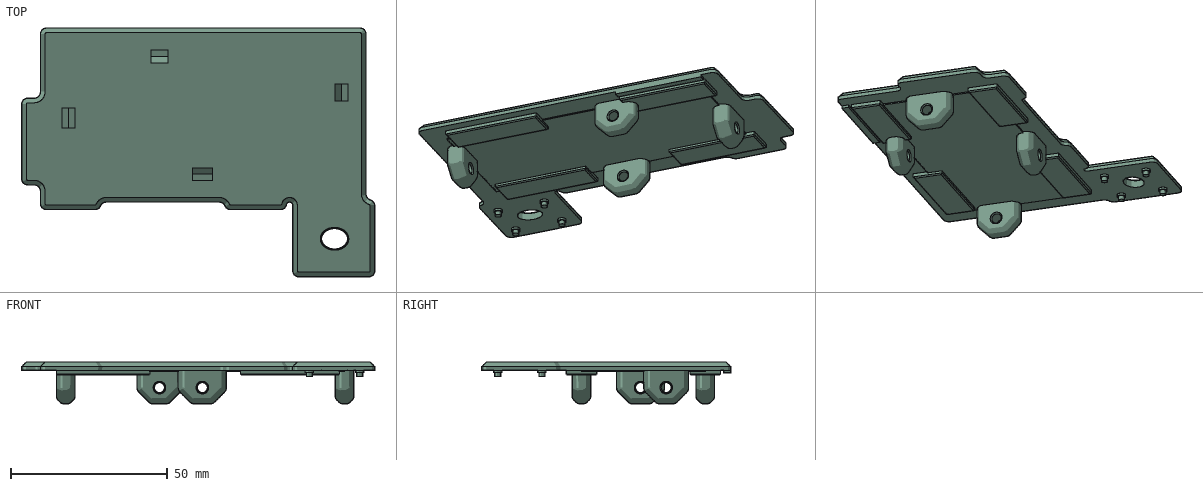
import cadquery as cq
import math

LENGTH = 113.0
DEPTH = 79.65
THICKNESS = 2.7
EDGE_CHAMFER = 1.5
CORNER_R = 2.0

BODY_LEFT = 6.0
BODY_RIGHT = 110.2
BODY_FRONT = 21.5
EAR_FRONT = 29.4
EAR_BACK = 57.2
TAB_LEFT = 86.7

RECESS_DEPTH = 2.4
RECESS_LEFT = 23.4
RECESS_RIGHT = 66.9
NOTCH_R = 1.0
TAB_STEP_Y = 22.7

TAB_HOLE_CENTER = (100.1, 12.2)
TAB_HOLE_LENGTH = 8.3
TAB_HOLE_WIDTH = 6.5
TAB_HOLE_CHAMFER = 0.4

PEG_SPACING_X = 16.1
PEG_SPACING_Y = 14.1
PEG_BASE_D = 2.7
PEG_TIP_D = 2.0
PEG_BASE_HEIGHT = 0.7
PEG_HEIGHT = 2.0

LUG_DROP = 10.7
LUG_THICKNESS = 6.0
LUG_BEVEL = 4.3
LUG_CORNER_R = 1.8
LUG_EDGE_CHAMFER = 1.75
LUG_EDGE_FILLET = 1.65
LUG_HOLE_D = 3.2
LUG_HOLE_CHAMFER = 0.4
LUG_HOLE_Z = -5.5
WIDE_LUG = 15.4
NARROW_LUG = 14.4
BACK_LUG = (44.1, 71.5)
FRONT_LUG = (57.8, 31.9)
LEFT_LUG = (14.1, 50.8)
RIGHT_LUG = (103.3, 59.0)
LUGS = [
    (BACK_LUG, NARROW_LUG, 0),
    (LEFT_LUG, WIDE_LUG, 90),
    (FRONT_LUG, WIDE_LUG, 180),
    (RIGHT_LUG, NARROW_LUG, 270),
]

POCKET_DEPTH = 4.5
POCKET_RAMP = 2.05
POCKET_SPAN = 2 * POCKET_RAMP
LUG_WIDTH_BEYOND_POCKET = 9.0

PANEL_HEIGHT = 0.4
PAD_HEIGHT = 1.5
PAD_CHAMFER = 0.4
PAD_COLUMNS = [(11.2, 41.0), (70.0, 101.6)]
PAD_ROWS = [(27.0, 36.8), (66.6, 76.4)]
LIP_HEIGHT = 0.8
LIP_WIDTH = 2.3


def block(x_range, y_range, height):
    """Box hanging from the plate underside."""
    x0, x1 = x_range
    y0, y1 = y_range
    return cq.Workplane("XY").box(x1 - x0, y1 - y0, height, centered=False).translate((x0, y0, -height))


def bend_length(offset):
    """Run of an S-bend made of two corner-radius arcs that steps sideways by offset."""
    return math.sqrt(offset * (4 * CORNER_R - offset))


def s_bend(path, start, end):
    """Add two equal tangent arcs, meeting halfway between start and end."""
    middle = ((start[0] + end[0]) / 2, (start[1] + end[1]) / 2)
    return path.tangentArcPoint(middle, relative=False).tangentArcPoint(end, relative=False)


def rounded_corner(path, corner, heading, turn):
    """Run straight towards a corner and round it. Heading and turn are unit steps before and after it."""
    r = CORNER_R
    x, y = corner
    path = path.lineTo(x - r * heading[0], y - r * heading[1])
    return path.tangentArcPoint((x + r * turn[0], y + r * turn[1]), relative=False)


def front_edge(path):
    """Front edge from the left body corner to the tab's left side, with its recess and relief notch."""
    top = BODY_FRONT + RECESS_DEPTH
    run = bend_length(RECESS_DEPTH)
    path = path.lineTo(RECESS_LEFT, BODY_FRONT)
    path = s_bend(path, (RECESS_LEFT, BODY_FRONT), (RECESS_LEFT + run, top))
    path = path.lineTo(RECESS_RIGHT - run, top)
    path = s_bend(path, (RECESS_RIGHT - run, top), (RECESS_RIGHT, BODY_FRONT))

    notch_x = TAB_LEFT - NOTCH_R
    notch_y = top - NOTCH_R
    shoulder_y = BODY_FRONT + CORNER_R
    arc_gap = CORNER_R + NOTCH_R
    shoulder_x = notch_x - math.sqrt(arc_gap**2 - (shoulder_y - notch_y) ** 2)
    share = CORNER_R / arc_gap
    meeting = (
        shoulder_x + share * (notch_x - shoulder_x),
        shoulder_y + share * (notch_y - shoulder_y),
    )
    path = path.lineTo(shoulder_x, BODY_FRONT)
    path = path.tangentArcPoint(meeting, relative=False)
    return path.tangentArcPoint((TAB_LEFT, notch_y), relative=False)


def make_plate():
    left, right, back, front = (-1, 0), (1, 0), (0, 1), (0, -1)
    step = LENGTH - BODY_RIGHT
    step_start = (LENGTH, TAB_STEP_Y)
    step_end = (BODY_RIGHT, TAB_STEP_Y + bend_length(step))

    path = cq.Workplane("XY").moveTo(BODY_LEFT, (BODY_FRONT + EAR_FRONT) / 2)
    path = rounded_corner(path, (BODY_LEFT, BODY_FRONT), front, right)
    path = front_edge(path)
    path = rounded_corner(path, (TAB_LEFT, 0), front, right)
    path = rounded_corner(path, (LENGTH, 0), right, back)
    path = s_bend(path.lineTo(*step_start), step_start, step_end)
    path = rounded_corner(path, (BODY_RIGHT, DEPTH), back, left)
    path = rounded_corner(path, (BODY_LEFT, DEPTH), left, front)
    path = rounded_corner(path, (BODY_LEFT, EAR_BACK), front, left)
    path = rounded_corner(path, (0, EAR_BACK), left, front)
    path = rounded_corner(path, (0, EAR_FRONT), front, right)
    path = rounded_corner(path, (BODY_LEFT, EAR_FRONT), right, front)
    plate = path.close().extrude(THICKNESS)
    return plate.faces(">Z").edges().chamfer(EDGE_CHAMFER)


def cut_tab_hole(body):
    body = body.cut(
        cq.Workplane("XY")
        .center(*TAB_HOLE_CENTER)
        .ellipse(TAB_HOLE_LENGTH / 2, TAB_HOLE_WIDTH / 2)
        .extrude(THICKNESS)
    )
    rim_point = (TAB_HOLE_CENTER[0], TAB_HOLE_CENTER[1], THICKNESS)
    rim = cq.selectors.NearestToPointSelector(rim_point)
    return body.edges(rim).chamfer(TAB_HOLE_CHAMFER)


def make_pegs():
    pegs = cq.Workplane("XY").center(*TAB_HOLE_CENTER).rarray(PEG_SPACING_X, PEG_SPACING_Y, 2, 2)
    bases = pegs.circle(PEG_BASE_D / 2).extrude(-PEG_BASE_HEIGHT)
    tips = pegs.circle(PEG_TIP_D / 2).extrude(-PEG_HEIGHT)
    return bases.union(tips)


def make_lug(width):
    """Bevelled, rounded lug centred on the origin, spanning X, with a cross hole along Y."""
    lug = (
        cq.Workplane("XY")
        .box(width, LUG_THICKNESS, LUG_DROP, centered=(True, True, False))
        .translate((0, 0, -LUG_DROP))
        .faces("<Z")
        .edges("|Y")
        .chamfer(LUG_BEVEL)
        .faces("not (|X or |Y or |Z)")
        .edges("|Y")
        .fillet(LUG_CORNER_R)
    )
    lug = lug.faces("<Y or >Y").edges("not >Z").chamfer(LUG_EDGE_CHAMFER)
    face_edges = lug.faces("<Y or >Y").edges("not >Z")
    side_edges = lug.faces("#Y").edges("not (>Z or |Y)")
    lug = face_edges.add(side_edges).fillet(LUG_EDGE_FILLET)
    hole = (
        cq.Workplane("XZ")
        .center(0, LUG_HOLE_Z)
        .circle(LUG_HOLE_D / 2)
        .extrude(LUG_THICKNESS / 2, both=True)
    )
    lug = lug.cut(hole)
    return lug.faces("<Y or >Y").edges("%CIRCLE").chamfer(LUG_HOLE_CHAMFER)


def make_pocket(width):
    """Pocket whose inner half is a 45 degree ramp and whose outer half drops straight to a flat floor."""
    inner = -LUG_THICKNESS / 2
    floor = THICKNESS - POCKET_DEPTH
    return (
        cq.Workplane("YZ")
        .moveTo(inner, THICKNESS)
        .lineTo(inner + POCKET_RAMP, THICKNESS - POCKET_RAMP)
        .lineTo(inner + POCKET_RAMP, floor)
        .lineTo(inner + POCKET_SPAN, floor)
        .lineTo(inner + POCKET_SPAN, THICKNESS)
        .close()
        .extrude(width / 2, both=True)
    )


def make_underside():
    """Thin panel between the lug centres, a pad near each corner and a lip along the back edge."""
    panel = block((LEFT_LUG[0], RIGHT_LUG[0]), (FRONT_LUG[1], BACK_LUG[1]), PANEL_HEIGHT)
    lip = block(PAD_COLUMNS[0], (DEPTH - LIP_WIDTH, DEPTH), LIP_HEIGHT)
    raised = panel.union(lip)
    for column in PAD_COLUMNS:
        for row in PAD_ROWS:
            pad = block(column, row, PAD_HEIGHT).faces("<Z").edges().chamfer(PAD_CHAMFER)
            raised = raised.union(pad)
    return raised


def place(shape, center, turn):
    return shape.rotate((0, 0, 0), (0, 0, 1), turn).translate((center[0], center[1], 0))


result = cut_tab_hole(make_plate()).union(make_underside()).union(make_pegs())
for lug_center, lug_width, lug_turn in LUGS:
    result = result.union(place(make_lug(lug_width), lug_center, lug_turn))
    pocket = make_pocket(lug_width - LUG_WIDTH_BEYOND_POCKET)
    result = result.cut(place(pocket, lug_center, lug_turn))